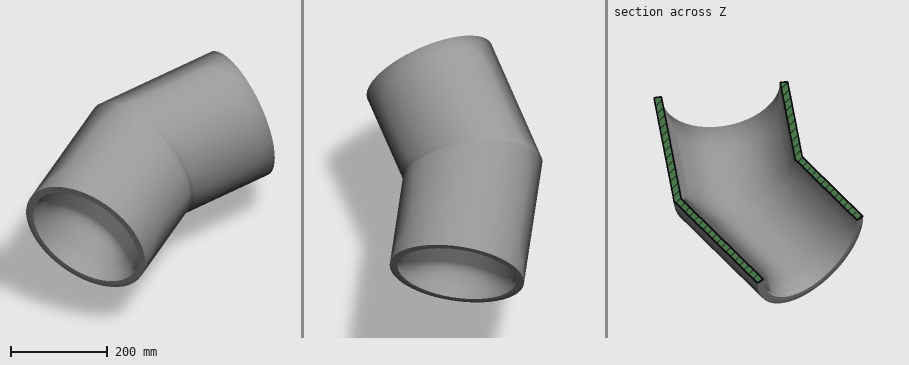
import cadquery as cq
import math

overall_length = 514.0
outer_diameter = 280.0
wall = 16.5
bend_angle = math.radians(30)

outer_radius = outer_diameter / 2
inner_radius = outer_radius - wall

end_face_rise = outer_radius * math.sin(bend_angle)
leg_length = (overall_length - end_face_rise) / (1 + math.cos(bend_angle))

centreline = cq.Workplane("XY").polyline([
    (0, -leg_length),
    (0, 0),
    (leg_length * math.sin(bend_angle), leg_length * math.cos(bend_angle)),
])

start_face = cq.Workplane("XZ", origin=(0, -leg_length, 0))
ring = start_face.circle(outer_radius).circle(inner_radius)
result = ring.sweep(centreline, transition="right")